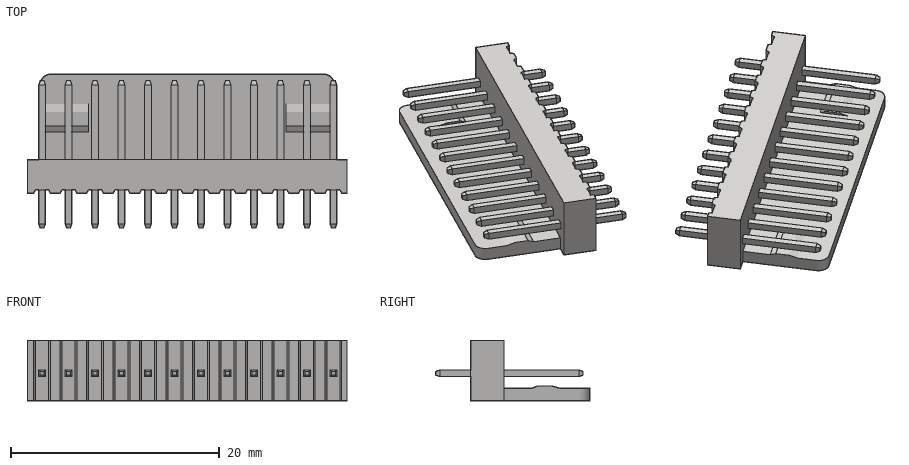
import cadquery as cq

block_length = 30.68
block_depth = 3.22
block_height = 5.8

pin_count = 12
pin_row_span = 27.95
pin_pitch = pin_row_span / (pin_count - 1)
first_pin_inset = 1.4
first_pin_x = first_pin_inset - block_length / 2
pin_xs = [first_pin_x + i * pin_pitch for i in range(pin_count)]
pin_size = 0.65
pin_tip_size = 0.37
pin_taper_length = 0.4
pin_height = 2.65
pin_reach_back = 7.58
pin_reach_front = 3.35

groove_depth = 0.35
groove_floor_width = 1.23
groove_mouth_width = 1.6

tongue_width = 28.23
tongue_length = 8.22
tongue_thickness = 1.23
tongue_corner_radius = 1.05
bump_width = 4.63
bump_rise = 0.2
bump_start = 2.67
bump_crest_start = 3.22
bump_crest_end = 4.55
bump_end = 5.35


def make_block():
    """Rectangular housing between Y = -block_depth and Y = 0."""
    return cq.Workplane("XY").box(
        block_length, block_depth, block_height, centered=(True, False, False)
    ).translate((0, -block_depth, 0))


def make_groove(x):
    """Trapezoidal cutter, open to the front, over the full block height."""
    front = -block_depth
    floor = front + groove_depth
    outline = [
        (x - groove_mouth_width / 2, front),
        (x - groove_floor_width / 2, floor),
        (x + groove_floor_width / 2, floor),
        (x + groove_mouth_width / 2, front),
    ]
    return cq.Workplane("XY").polyline(outline).close().extrude(block_height)


def make_tongue():
    """Flat plate with its two free corners rounded."""
    plate = cq.Workplane("XY").box(
        tongue_width, tongue_length, tongue_thickness, centered=(True, False, False)
    )
    return plate.edges("|Z and >Y").fillet(tongue_corner_radius)


def make_bump(x_start):
    """Ramped ridge on top of the tongue, extending bump_width along +X."""
    crest = tongue_thickness + bump_rise
    outline = [
        (bump_start, 0),
        (bump_start, tongue_thickness),
        (bump_crest_start, crest),
        (bump_crest_end, crest),
        (bump_end, tongue_thickness),
        (bump_end, 0),
    ]
    ridge = cq.Workplane("YZ").polyline(outline).close().extrude(bump_width)
    return ridge.translate((x_start, 0, 0))


def make_pin_taper(x, y_start, direction):
    """Truncated pyramid narrowing from y_start; direction is +1 for +Y, -1 for -Y."""
    base = cq.Plane(origin=(x, y_start, pin_height), xDir=(1, 0, 0), normal=(0, direction, 0))
    return (
        cq.Workplane(base)
        .rect(pin_size, pin_size)
        .workplane(offset=pin_taper_length)
        .rect(pin_tip_size, pin_tip_size)
        .loft(ruled=True)
    )


def make_pin(x):
    """Square pin with a tapered tip at both ends."""
    shank_back = pin_reach_back - pin_taper_length
    shank_front = -block_depth - pin_reach_front + pin_taper_length
    shank = cq.Workplane("XY").box(
        pin_size, shank_back - shank_front, pin_size, centered=(True, False, True)
    ).translate((x, shank_front, pin_height))
    back_tip = make_pin_taper(x, shank_back, 1)
    front_tip = make_pin_taper(x, shank_front, -1)
    return shank.union(back_tip).union(front_tip)


result = make_block().union(make_tongue())

for bump_x in (-tongue_width / 2, tongue_width / 2 - bump_width):
    result = result.union(make_bump(bump_x))

for pin_x in pin_xs:
    result = result.cut(make_groove(pin_x))

for pin_x in pin_xs:
    result = result.union(make_pin(pin_x))